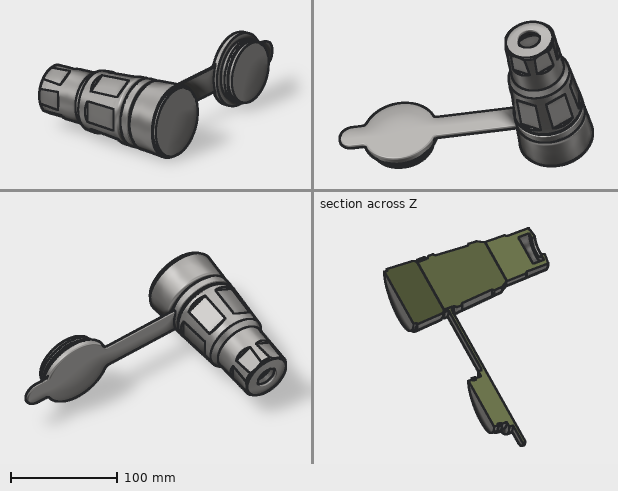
import cadquery as cq


nut_length = 45.8
nut_rim_x = 1.5
nut_rim_radius = 22.2
nut_barrel_x = 3.0
nut_rear_radius = 23.8
nut_front_radius = 25.0
cable_hole_radius = 10.5
cable_hole_length = 3.8
cable_hole_rounding = 1.2
cable_hole_land_radius = 11.8
seal_chamber_radius = 16.5
seal_chamber_end_x = 14.6
nut_flat_distance = 22.7
nut_flat_end_x = 23.8
nut_flat_run_out = 2.4

shoulder_rear_radius = 25.0
shoulder_front_x = 52.2
shoulder_front_radius = 29.0
housing_front_x = 102.5
housing_front_radius = 33.0
housing_rounding = 3.5
neck_radius = 30.5
grip_start_x = 62.3
grip_end_x = 94.2
grip_depth = 2.0
grip_start_run_out = 2.1
grip_end_run_out = 1.5

flat_count = 6
cutter_reach = 47.2
cutter_margin = 2

coupling_start_x = 113.3
coupling_rear_radius = 33.3
coupling_front_x = 142.5
coupling_front_radius = 35.2
coupling_rounding = 3.5
lip_radius = 33.3
overall_length = 145.8

band_start_x = 103.8
band_end_x = 112.0
band_radius = 33.0
band_rounding = 0.7
strap_start_x = 106.2
strap_thickness = 3.3
strap_width = 25.0
strap_rounding = 2.1
lid_center_y = 143.0
lid_radius = 35.5
lid_thickness = 7.0
lid_corner_radius = 4.2
overall_y = 236.0
tab_end_y = overall_y - coupling_front_radius
plug_radius = 29.3
plug_end_x = 126.3

seal_start_x = 118.7
seal_end_x = 122.0
seal_outer_radius = 30.7
seal_inner_radius = 27.8


def revolve_profile(points):
    """Turn an outline of (x, radius) points about the X axis."""
    return cq.Workplane("XY").polyline(points).close().revolve(360, (0, 0, 0), (1, 0, 0))


def disc(start_x, end_x, radius, center_y=0):
    """Cylinder along X between two X positions."""
    return (
        cq.Workplane("YZ", origin=(start_x, center_y, 0))
        .circle(radius)
        .extrude(end_x - start_x)
    )


def cut_flats(body, points, width):
    """Cut evenly spaced flats, each a prism with an outline of (x, radius) points."""
    cutter = cq.Workplane("XY").polyline(points).close().extrude(width / 2, both=True)
    for index in range(flat_count):
        body = body.cut(cutter.rotate((0, 0, 0), (1, 0, 0), index * 360 / flat_count))
    return body


def make_nut():
    nut = revolve_profile([
        (0, 0),
        (0, cable_hole_land_radius),
        (nut_rim_x, nut_rim_radius),
        (nut_barrel_x, nut_rear_radius),
        (nut_length, nut_front_radius),
        (nut_length, 0),
    ])
    nut = nut.cut(disc(0, cable_hole_length, cable_hole_radius))
    hole_mouth = cq.selectors.RadiusNthSelector(0)
    nut = nut.faces("<X").edges(hole_mouth).fillet(cable_hole_rounding)
    nut = nut.cut(disc(cable_hole_length, seal_chamber_end_x, seal_chamber_radius))
    run_out_slope = nut_flat_run_out / (nut_front_radius - nut_flat_distance)
    run_out = (cutter_reach - nut_flat_distance) * run_out_slope
    return cut_flats(nut, [
        (0, nut_flat_distance),
        (nut_flat_end_x, nut_flat_distance),
        (nut_flat_end_x + run_out, cutter_reach),
        (0, cutter_reach),
    ], 2 * nut_front_radius)


def housing_radius(x):
    """Radius of the tapered grip at a given X."""
    taper = (housing_front_radius - shoulder_front_radius) / (housing_front_x - shoulder_front_x)
    return shoulder_front_radius + taper * (x - shoulder_front_x)


def make_housing():
    housing = revolve_profile([
        (nut_length, 0),
        (nut_length, shoulder_rear_radius),
        (shoulder_front_x, shoulder_front_radius),
        (housing_front_x, housing_front_radius),
        (housing_front_x, 0),
    ])
    housing = housing.faces(">X").edges().fillet(housing_rounding)
    start_floor = housing_radius(grip_start_x) - grip_depth
    end_floor = housing_radius(grip_end_x) - grip_depth
    housing = cut_flats(housing, [
        (grip_start_x, start_floor),
        (grip_end_x, end_floor),
        (grip_end_x + cutter_margin * grip_end_run_out, end_floor + cutter_margin * grip_depth),
        (grip_start_x - cutter_margin * grip_start_run_out, start_floor + cutter_margin * grip_depth),
    ], housing_front_radius)
    return housing.union(disc(housing_front_x, coupling_start_x, neck_radius))


def make_coupling():
    coupling = revolve_profile([
        (coupling_start_x, 0),
        (coupling_start_x, coupling_rear_radius),
        (coupling_front_x, coupling_front_radius),
        (coupling_front_x, lip_radius),
        (overall_length, lip_radius),
        (overall_length, 0),
    ])
    return coupling.faces("<X").edges().fillet(coupling_rounding)


def make_strap_plate():
    """Flat plate of strap, lid outline and pull tab, rounded on its rear edge."""
    tab_radius = strap_width / 2
    tab_center_y = tab_end_y - tab_radius
    strap_end_x = strap_start_x + strap_thickness
    strap = (
        cq.Workplane("YZ", origin=(strap_start_x, tab_center_y / 2, 0))
        .rect(tab_center_y, strap_width)
        .extrude(strap_thickness)
    )
    plate = (
        strap
        .union(disc(strap_start_x, strap_end_x, tab_radius, tab_center_y))
        .union(disc(strap_start_x, strap_end_x, lid_radius, lid_center_y))
    )
    lid_corners = cq.selectors.BoxSelector(
        (strap_start_x, lid_center_y - lid_radius, -strap_width),
        (strap_end_x, lid_center_y + lid_radius, strap_width),
    )
    plate = plate.edges("|X").edges(lid_corners).fillet(lid_corner_radius)
    return plate.faces("<X").edges().fillet(strap_rounding)


def make_cap():
    band = disc(band_start_x, band_end_x, band_radius).edges().fillet(band_rounding)
    lid_end_x = strap_start_x + lid_thickness
    flange = disc(strap_start_x + strap_thickness, lid_end_x, lid_radius, lid_center_y)
    plug = disc(lid_end_x, plug_end_x, plug_radius, lid_center_y)
    return (
        make_strap_plate()
        .union(band)
        .cut(disc(band_start_x, band_end_x, neck_radius))
        .union(flange)
        .union(plug)
        .cut(make_seal())
    )


def make_seal():
    ring = disc(seal_start_x, seal_end_x, seal_outer_radius, lid_center_y)
    return ring.cut(disc(seal_start_x, seal_end_x, seal_inner_radius, lid_center_y))


nut = make_nut()
housing = make_housing()
coupling = make_coupling()
cap = make_cap()
seal = make_seal()

result = cq.Compound.makeCompound([
    nut.val(),
    housing.val(),
    coupling.val(),
    cap.val(),
    seal.val(),
])